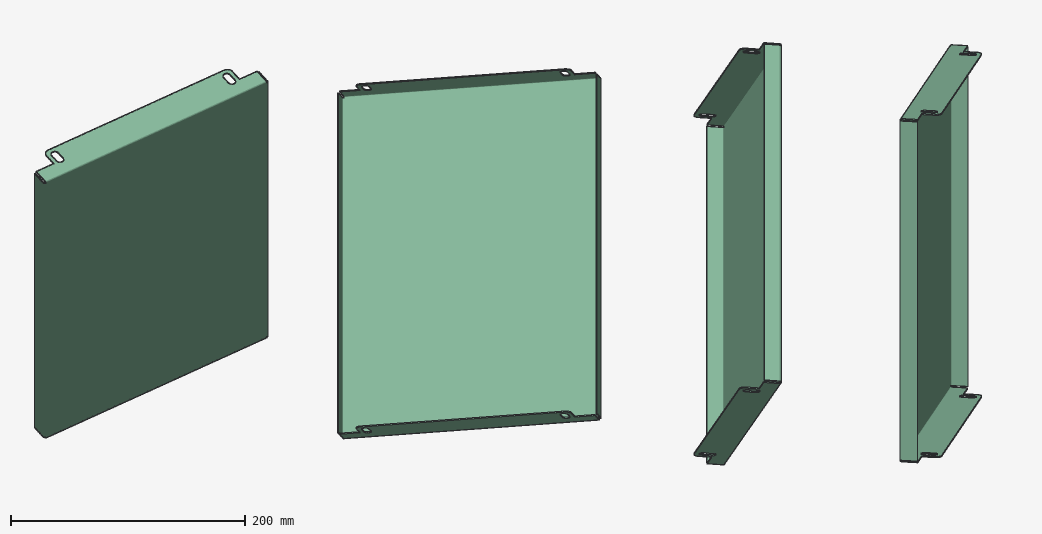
import cadquery as cq

width = 229.0
height = 306.0
tab_depth = 32.0
flange_depth = 15.5

sheet = 1.0
inner_bend_radius = 0.8
outer_bend_radius = inner_bend_radius + sheet

tab_width = 189.5
tab_corner_radius = 5.0

slot_length = 14.5
slot_width = 6.5
slot_edge_gap = 4.0
slot_spacing = 175.25

front_x = tab_depth / 2
tab_edge_x = front_x - tab_depth
flange_edge_x = front_x - flange_depth
slot_x = tab_edge_x + slot_edge_gap + slot_length / 2
flat_width = width - 2 * outer_bend_radius
flat_height = height - 2 * outer_bend_radius


def box_between(x_min, x_max, y_size, z_size):
    """Box centred on Y and Z, spanning x_min to x_max."""
    return cq.Workplane("XY").box(x_max - x_min, y_size, z_size).translate(((x_min + x_max) / 2, 0, 0))


def make_channel(across, length, depth):
    """U-shaped channel open toward -X: flanges on +/-Y with rounded bends, extruded along Z."""
    x_min = front_x - depth
    outer = box_between(x_min, front_x, across, length)
    outer = outer.edges("|Z and >X").fillet(outer_bend_radius)
    inner = box_between(x_min, front_x - sheet, across - 2 * sheet, length)
    inner = inner.edges("|Z and >X").fillet(inner_bend_radius)
    return outer.cut(inner)


def make_tab_outline():
    """Plan of the top and bottom flanges, as a solid over the full height."""
    root = box_between(flange_edge_x, front_x, flat_width, height)
    tab = box_between(tab_edge_x, front_x, tab_width, height)
    tab = tab.edges("|Z and <X").fillet(tab_corner_radius)
    return root.union(tab)


def make_slots():
    """Cutters for the slots, passing through both tabs."""
    return (
        cq.Workplane("XY")
        .pushPoints([(slot_x, side * slot_spacing / 2) for side in (-1, 1)])
        .slot2D(slot_length, slot_width)
        .extrude(height, both=True)
    )


side_channel = make_channel(width, flat_height, flange_depth)

tab_channel = make_channel(height, flat_width, tab_depth).rotate((0, 0, 0), (1, 0, 0), 90)
tab_channel = tab_channel.intersect(make_tab_outline()).cut(make_slots())

result = side_channel.union(tab_channel)